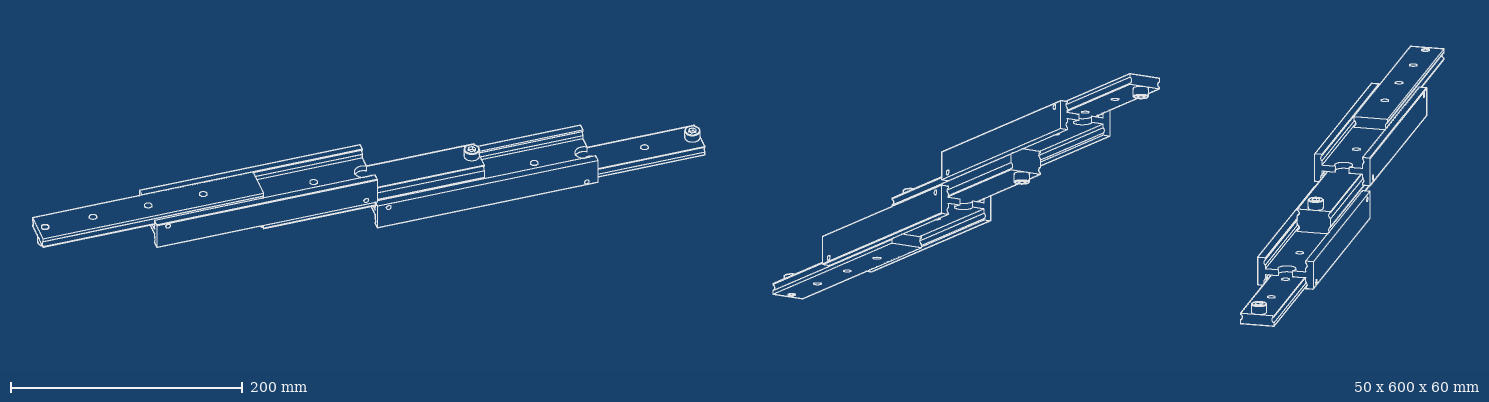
import cadquery as cq
overall_length = 600.0
overall_height = 60.0
member_length = overall_length / 3
stagger = member_length / 2

channel_width = 50.0
channel_height = 25.0
channel_opening = 36.0
channel_center_z = 15.0
web_thickness = 5.5
edge_chamfer = 0.5

track_radius = 3.0
track_center_x = 16.0
inner_track_z = 6.5
outer_track_z = 24.0

rail_width = 30.0
single_rail_height = 9.5
double_rail_height = 20.5

hole_diameter = 6.5
rail_hole_spacing = member_length / 4
channel_hole_spacing = member_length / 2

stop_diameter = 13.0
stop_height = 8.0
stop_inset = stop_diameter / 2
stop_chamfer = 0.5
socket_width = 6.0
socket_depth = 3.0
socket_cone_depth = 1.0
stop_hole_depth = 0.5

notch_radius = 8.0
notch_inset = 5.0

side_hole_diameter = 4.0
side_hole_inset = 10.0


def bar(width, height, center_y, center_z):
    """Rectangular bar as long as one member."""
    return cq.Workplane("XY").box(width, member_length, height).translate((0, center_y, center_z))


def ball_tracks(center_y, center_z):
    """Pair of cylinders that run the length of a member, one on each side."""
    return (
        cq.Workplane("XZ", origin=(0, center_y, center_z))
        .pushPoints([(-track_center_x, 0), (track_center_x, 0)])
        .circle(track_radius)
        .extrude(member_length / 2, both=True)
    )


def vertical_holes(center_y, offsets):
    """Cylinders that cross the whole height at the given offsets along Y."""
    return (
        cq.Workplane("XY", origin=(0, center_y, 0))
        .pushPoints([(0, offset) for offset in offsets])
        .circle(hole_diameter / 2)
        .extrude(overall_height, both=True)
    )


def add_end_stop(rail, y, face_z, direction):
    """Fuse a socket-headed stop to a rail face; direction is the sign of its Z axis."""
    head = cq.Workplane("XY").circle(stop_diameter / 2).extrude(stop_height)
    head = head.faces(">Z").chamfer(stop_chamfer)
    top = cq.Workplane("XY").workplane(offset=stop_height)
    socket = top.polygon(6, socket_width, circumscribed=True).extrude(-socket_depth)
    cone = cq.Solid.makeCone(socket_width / 2, 0, socket_cone_depth).mirror("XY")
    cone = cone.translate((0, 0, stop_height - socket_depth))
    head = head.cut(socket).cut(cq.Workplane(cone))
    if direction < 0:
        head = head.rotate((0, 0, 0), (1, 0, 0), 180)
    return rail.union(head.translate((0, y, face_z)))


def make_channel(side):
    """H-shaped channel; side is +1 for the upper one and -1 for the lower one."""
    center_y = -side * stagger
    center_z = side * channel_center_z
    channel = bar(channel_width, channel_height, center_y, center_z)
    outer_face = ">Z" if side > 0 else "<Z"
    channel = channel.faces(outer_face).edges("|Y").chamfer(edge_chamfer)
    for end in (-1, 1):
        pocket_z = center_z + end * (web_thickness + channel_height) / 2
        channel = channel.cut(bar(channel_opening, channel_height, center_y, pocket_z))
        track_z = side * (outer_track_z if end == side else inner_track_z)
        channel = channel.cut(ball_tracks(center_y, track_z))
        notch_y = center_y + end * (member_length / 2 - notch_inset)
        notch = cq.Workplane("XY", origin=(0, notch_y, center_z)).circle(notch_radius)
        channel = channel.cut(notch.extrude(channel_height, both=True))
        hole_y = center_y - end * (member_length / 2 - side_hole_inset)
        hole = cq.Workplane("YZ", origin=(0, hole_y, track_z)).circle(side_hole_diameter / 2)
        channel = channel.cut(hole.extrude(channel_width, both=True))
    half_spacing = channel_hole_spacing / 2
    return channel.cut(vertical_holes(center_y, (-half_spacing, half_spacing)))


def make_single_rail(side):
    """Outermost rail; side is +1 for the upper one and -1 for the lower one."""
    center_y = -side * 2 * stagger
    outer_z = side * overall_height / 2
    inner_z = outer_z - side * single_rail_height
    stop_y = -side * (overall_length / 2 - stop_inset)
    rail = bar(rail_width, single_rail_height, center_y, (outer_z + inner_z) / 2)
    rail = rail.cut(ball_tracks(center_y, side * outer_track_z))
    rail = rail.cut(vertical_holes(center_y, (-rail_hole_spacing, 0, rail_hole_spacing)))
    rail = add_end_stop(rail, stop_y, inner_z, -side)
    stop_hole = cq.Workplane("XY", origin=(0, stop_y, outer_z)).circle(hole_diameter / 2)
    return rail.cut(stop_hole.extrude(-side * stop_hole_depth))


def make_double_rail():
    """Middle rail that carries both channels."""
    rail = bar(rail_width, double_rail_height, 0, 0)
    for side in (-1, 1):
        rail = rail.cut(ball_tracks(0, side * inner_track_z))
        stop_y = side * (member_length / 2 - stop_inset)
        rail = add_end_stop(rail, stop_y, side * double_rail_height / 2, side)
    return rail


channels = [make_channel(side) for side in (-1, 1)]
single_rails = [make_single_rail(side) for side in (-1, 1)]
double_rail = make_double_rail()

result = cq.Compound.makeCompound(
    [
        *[channel.val() for channel in channels],
        *[rail.val() for rail in single_rails],
        double_rail.val(),
    ]
)